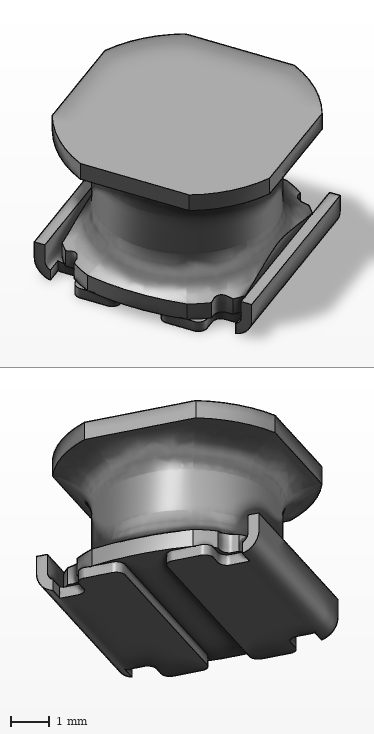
import cadquery as cq
import math

total_height = 4.5
terminal_thickness = 0.31
bottom_flange_top = 0.805
core_bottom = 1.8
core_top = 3.005
top_flange_bottom = 3.99

core_radius = 2.495
top_half_width = 3.15
top_side_half_length = 1.575
top_side_bulge = 0.0
bottom_half_width = 3.14
bottom_side_half_length = 1.435
bottom_side_bulge = 0.14
bottom_trimmed_half_x = 2.65
flare_steps = 4
flare_end_angle = 75.0

notch_side_x = 1.99
notch_wall_y = 2.275
notch_radius = 0.265

terminal_outer_x = 3.15
terminal_inner_x = 0.6
terminal_height = 1.11
bend_outer_radius = 0.6
bend_half_length = 2.65
neck_start_x = 2.685
neck_half_length = 2.19
tab_half_length = 3.0
tab_side_x = 1.9
tab_radius = 0.25


def flange_outline(z, half_width, side_half_length, side_bulge, spread=1.0):
    """Wire of four sides and four corner arcs at height z.

    At spread 0 it is the core circle, at spread 1 the full flange outline."""
    end_y = half_width - side_bulge
    core_angle = math.atan2(end_y, side_half_length)

    def blend(core_point, flange_point):
        return tuple(c + spread * (f - c) for c, f in zip(core_point, flange_point))

    def on_core(angle):
        return core_radius * math.cos(angle), core_radius * math.sin(angle)

    diagonal = math.hypot(end_y, side_half_length) * math.sqrt(0.5)
    right_end = blend(on_core(core_angle), (side_half_length, end_y))
    left_end = (-right_end[0], right_end[1])
    side_middle = blend((0, core_radius), (0, half_width))
    corner_middle = blend(on_core(math.radians(135)), (-diagonal, diagonal))
    corner_end = (-right_end[1], right_end[0])

    edges = []
    for quarter in range(4):
        if spread == 1.0 and side_bulge == 0:
            side = cq.Edge.makeLine(cq.Vector(*right_end, z), cq.Vector(*left_end, z))
        else:
            side = cq.Edge.makeThreePointArc(
                cq.Vector(*right_end, z), cq.Vector(*side_middle, z), cq.Vector(*left_end, z)
            )
        corner = cq.Edge.makeThreePointArc(
            cq.Vector(*left_end, z), cq.Vector(*corner_middle, z), cq.Vector(*corner_end, z)
        )
        for edge in (side, corner):
            edges.append(edge.rotate(cq.Vector(0, 0, 0), cq.Vector(0, 0, 1), 90 * quarter))
    return cq.Wire.assembleEdges(edges)


def flange(core_z, flange_z, outer_z, half_width, side_half_length, side_bulge):
    """Flat flange plate with a flare that curves away from the core along an elliptical arc."""
    end_angle = math.radians(flare_end_angle)
    sections = []
    for step in range(flare_steps + 1):
        angle = end_angle * step / flare_steps
        z = core_z + (flange_z - core_z) * math.sin(angle) / math.sin(end_angle)
        spread = (1 - math.cos(angle)) / (1 - math.cos(end_angle))
        sections.append(flange_outline(z, half_width, side_half_length, side_bulge, spread))
    flare = cq.Workplane(cq.Solid.makeLoft(sections))
    outline = flange_outline(flange_z, half_width, side_half_length, side_bulge)
    plate = cq.Workplane(cq.Solid.extrudeLinear(outline, [], cq.Vector(0, 0, outer_z - flange_z)))
    return plate.union(flare)


def at_four_corners(shape):
    """The shape together with its mirror images in X and Y."""
    pair = shape.union(shape.mirror("YZ"))
    return pair.union(pair.mirror("XZ"))


def corner_notch():
    """Cutter for the rounded notch at the +X +Y corner of the bottom flange."""
    beyond = 2 * bottom_half_width
    arc_inset = notch_radius * (1 - math.sqrt(0.5))
    return (
        cq.Workplane("XY")
        .moveTo(notch_side_x, beyond)
        .lineTo(notch_side_x, notch_wall_y + notch_radius)
        .threePointArc(
            (notch_side_x + arc_inset, notch_wall_y + arc_inset),
            (notch_side_x + notch_radius, notch_wall_y),
        )
        .lineTo(beyond, notch_wall_y)
        .lineTo(beyond, beyond)
        .close()
        .extrude(core_bottom)
    )


def bottom_flange():
    body = flange(
        core_bottom,
        bottom_flange_top,
        terminal_thickness,
        bottom_half_width,
        bottom_side_half_length,
        bottom_side_bulge,
    )
    trim = cq.Workplane("XY").box(2 * bottom_trimmed_half_x, 2 * bottom_half_width, 2 * total_height)
    return body.intersect(trim).cut(at_four_corners(corner_notch()))


def terminal():
    """The +X terminal: an upright lip folded into a flat tab under the flange."""
    bend_x = terminal_outer_x - bend_outer_radius
    bend_inner_radius = bend_outer_radius - terminal_thickness
    diagonal = math.sqrt(0.5)
    lip = (
        cq.Workplane("XZ")
        .moveTo(bend_x, 0)
        .threePointArc(
            (bend_x + bend_outer_radius * diagonal, bend_outer_radius * (1 - diagonal)),
            (terminal_outer_x, bend_outer_radius),
        )
        .lineTo(terminal_outer_x, terminal_height)
        .lineTo(terminal_outer_x - terminal_thickness, terminal_height)
        .lineTo(terminal_outer_x - terminal_thickness, bend_outer_radius)
        .threePointArc(
            (bend_x + bend_inner_radius * diagonal, bend_outer_radius - bend_inner_radius * diagonal),
            (bend_x, terminal_thickness),
        )
        .close()
        .extrude(bend_half_length, both=True)
    )
    neck_shoulder = (
        cq.Workplane("XY")
        .rect(2 * neck_start_x, 2 * total_height)
        .rect(2 * neck_start_x, 2 * neck_half_length)
        .extrude(total_height)
    )
    tab = (
        cq.Workplane("XY")
        .rect(tab_side_x - terminal_inner_x, 2 * tab_half_length)
        .extrude(terminal_thickness)
        .translate(((tab_side_x + terminal_inner_x) / 2, 0, 0))
    )
    neck = (
        cq.Workplane("XY")
        .rect(bend_x - terminal_inner_x, 2 * neck_half_length)
        .extrude(terminal_thickness)
        .translate(((bend_x + terminal_inner_x) / 2, 0, 0))
    )
    flat = tab.union(neck).edges("(|Z) except (>X)").fillet(tab_radius)
    return flat.union(lip.cut(neck_shoulder))


core = cq.Workplane("XY").workplane(offset=core_bottom).circle(core_radius).extrude(core_top - core_bottom)
top_flange = flange(
    core_top,
    top_flange_bottom,
    total_height,
    top_half_width,
    top_side_half_length,
    top_side_bulge,
)
terminal_right = terminal()

result = core.union(top_flange).union(bottom_flange())
result = result.union(terminal_right).union(terminal_right.mirror("YZ"))